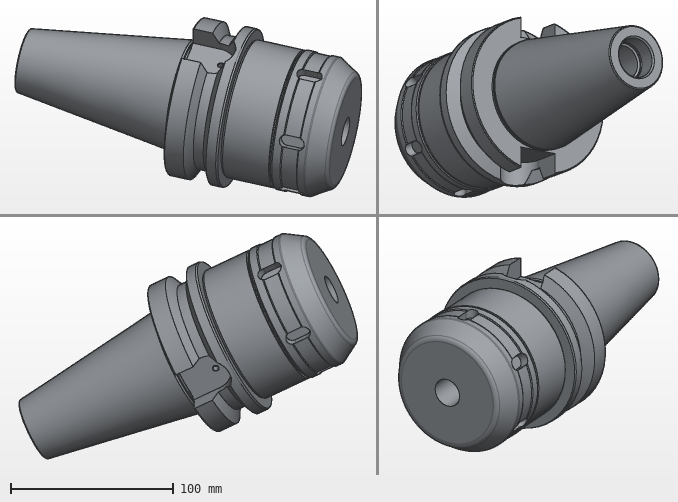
import cadquery as cq
import math

length = 206.8

taper_ratio = 7 / 24
taper_end_x = 101.5
taper_large_d = 70.0
tail_chamfer = 0.6
relief_d = 68.9
relief_back_x = 102.8
relief_front_x = 103.5
shoulder_d = 69.5

flange_d = 99.7
collar_d = 100.0
flange_back_x = 104.8
flange_front_x = 139.5
flange_chamfer = 0.6
collar_chamfer_length = 1.2
collar_chamfer_depth = 0.5
groove_floor_d = 84.8
groove_back_rim_x = 117.5
groove_back_floor_x = 121.5
groove_front_floor_x = 128.0
groove_front_rim_x = 132.1

body_d = 87.0
body_chamfer_length = 1.2
body_chamfer_depth = 0.8
body_front_x = 170.5
neck_d = 83.0

nut_back_x = 171.6
nut_d = 88.0
nut_chamfer_length = 1.0
nut_chamfer_depth = 0.6
band_d = 86.9
band_back_x = 177.8
band_front_x = 188.8
band_chamfer = (nut_d - band_d) / 2
nose_start_x = 193.5
nose_angle = 31
nose_edge_radius = 1.5
nose_tip_radius = 4.0

bore_d = 18.0
thread_d = 21.3
thread_end_x = 45.5
counterbore_d = 25.0
counterbore_depth = 11.8
counterbore_floor_taper = 0.6
thread_recess_d = 24.0
thread_recess_length = 0.6
thread_lead_in = 0.8
bore_chamfer = 1.0

keyway_width = 25.6
keyway_floor_z = 35.2
keyway_end_x = 135.7
pin_hole_x = 126.5
pin_hole_d = 3.3
pin_hole_rim_d = 4.0
pin_hole_depth = 6.2

slot_count = 6
slot_length = 16.0
slot_width = 8.0
slot_centre_x = 183.6
slot_floor_radius = 38.3


def revolve_about_x(points):
    """Solid of revolution about X from closed (x, radius) points."""
    profile = cq.Workplane("XY").polyline(points).close()
    return profile.revolve(360, (0, 0, 0), (1, 0, 0))


def ring_at(x, radius):
    """Selector for the circular edge at x, skipping any larger circle in the same plane."""
    margin = 0.02
    reach = radius + margin
    return cq.selectors.BoxSelector((x - margin, -reach, -reach), (x + margin, reach, reach), boundingbox=True)


def make_shank_flange_and_body():
    tail_r = (taper_large_d - taper_end_x * taper_ratio) / 2
    return revolve_about_x([
        (0, 0),
        (0, tail_r - tail_chamfer),
        (tail_chamfer, tail_r + tail_chamfer * taper_ratio / 2),
        (taper_end_x, taper_large_d / 2),
        (relief_back_x, relief_d / 2),
        (relief_front_x, relief_d / 2),
        (relief_front_x, shoulder_d / 2),
        (flange_back_x, shoulder_d / 2),
        (flange_back_x, flange_d / 2 - flange_chamfer),
        (flange_back_x + flange_chamfer, flange_d / 2),
        (groove_back_rim_x, flange_d / 2),
        (groove_back_floor_x, groove_floor_d / 2),
        (groove_front_floor_x, groove_floor_d / 2),
        (groove_front_rim_x, collar_d / 2),
        (flange_front_x - collar_chamfer_length, collar_d / 2),
        (flange_front_x, collar_d / 2 - collar_chamfer_depth),
        (flange_front_x, body_d / 2 - body_chamfer_depth),
        (flange_front_x + body_chamfer_length, body_d / 2),
        (body_front_x, body_d / 2),
        (body_front_x, neck_d / 2),
        (nut_back_x, neck_d / 2),
        (nut_back_x, 0),
    ])


def make_nut():
    nut_r = nut_d / 2
    tip_r = nut_r - (length - nose_start_x) * math.tan(math.radians(nose_angle))
    nut = revolve_about_x([
        (nut_back_x, 0),
        (nut_back_x, nut_r - nut_chamfer_depth),
        (nut_back_x + nut_chamfer_length, nut_r),
        (band_back_x, nut_r),
        (band_back_x + band_chamfer, band_d / 2),
        (band_front_x - band_chamfer, band_d / 2),
        (band_front_x, nut_r),
        (nose_start_x, nut_r),
        (length, tip_r),
        (length, 0),
    ])
    nut = nut.edges(ring_at(nose_start_x, nut_r)).fillet(nose_edge_radius)
    return nut.faces(">X").edges().fillet(nose_tip_radius)


def make_bore():
    bore_r = bore_d / 2
    thread_r = thread_d / 2
    counterbore_r = counterbore_d / 2
    recess_r = thread_recess_d / 2
    recess_back_x = counterbore_depth + counterbore_floor_taper
    recess_front_x = recess_back_x + thread_recess_length
    return revolve_about_x([
        (0, 0),
        (0, counterbore_r + bore_chamfer),
        (bore_chamfer, counterbore_r),
        (counterbore_depth, counterbore_r),
        (recess_back_x, recess_r),
        (recess_front_x, recess_r),
        (recess_front_x + thread_lead_in, thread_r),
        (thread_end_x, thread_r),
        (thread_end_x, bore_r),
        (length, bore_r),
        (length, 0),
    ])


def make_keyway():
    """Round-ended keyway on the +Z side, with its floor hole."""
    end_r = keyway_width / 2
    arc_x = keyway_end_x - end_r
    keyway = (
        cq.Workplane("XY", origin=(0, 0, keyway_floor_z))
        .moveTo(flange_back_x, -end_r)
        .lineTo(arc_x, -end_r)
        .threePointArc((keyway_end_x, 0), (arc_x, end_r))
        .lineTo(flange_back_x, end_r)
        .close()
        .extrude(collar_d / 2)
    )
    rim_chamfer = (pin_hole_rim_d - pin_hole_d) / 2
    hole = (
        cq.Workplane("XY", origin=(pin_hole_x, 0, keyway_floor_z))
        .circle(pin_hole_d / 2)
        .extrude(-pin_hole_depth)
    )
    rim = (
        cq.Workplane("XY", origin=(pin_hole_x, 0, keyway_floor_z))
        .circle(pin_hole_rim_d / 2)
        .workplane(offset=-rim_chamfer)
        .circle(pin_hole_d / 2)
        .loft()
    )
    return keyway.union(hole).union(rim)


def make_spanner_slot():
    return (
        cq.Workplane("XY", origin=(slot_centre_x, 0, slot_floor_radius))
        .slot2D(slot_length, slot_width)
        .extrude(nut_d / 2)
    )


def cut_around_x(body, cutter, count):
    """Cut evenly spaced copies of the cutter around the X axis."""
    for i in range(count):
        body = body.cut(cutter.rotate((0, 0, 0), (1, 0, 0), i * 360 / count))
    return body


result = make_shank_flange_and_body().union(make_nut()).cut(make_bore())
result = cut_around_x(result, make_keyway(), 2)
result = cut_around_x(result, make_spanner_slot(), slot_count)